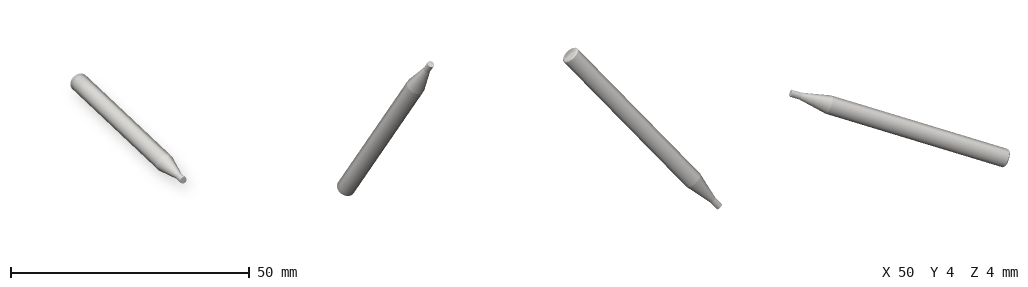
import cadquery as cq

total_length = 50.0
shank_radius = 2.0
shank_chamfer = 0.25

cone_length = 6.5
tip_length = 2.25
tip_radius = 0.75

shank_start = -total_length / 2
tip_end = total_length / 2
tip_start = tip_end - tip_length
cone_start = tip_start - cone_length

half_outline = (
    cq.Workplane("XZ")
    .moveTo(shank_start, 0)
    .lineTo(shank_start, shank_radius - shank_chamfer)
    .lineTo(shank_start + shank_chamfer, shank_radius)
    .lineTo(cone_start, shank_radius)
    .lineTo(tip_start, tip_radius)
    .lineTo(tip_end, tip_radius)
    .lineTo(tip_end, 0)
    .close()
)

result = half_outline.revolve(360, (0, 0, 0), (1, 0, 0))